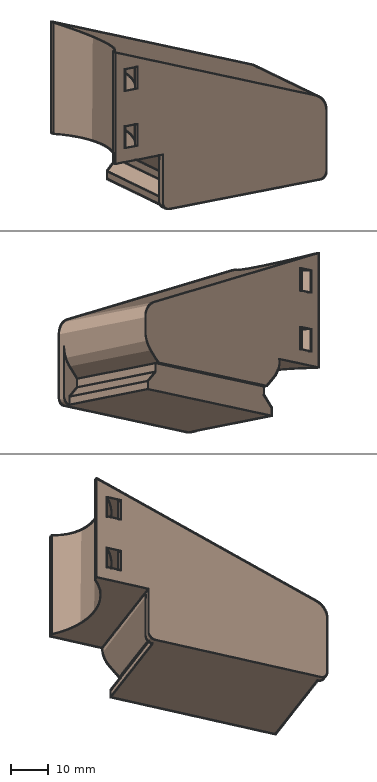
import cadquery as cq
import math

width = 32.0
length = 66.6
height = 46.75
slope_angle = 20.0
rear_radius = 5.0
overhang = 15.0
underside_z = 15.6

shoulder_z = 7.5
waist_inset = 5.0
waist_z = 5.2
foot_inset = 2.0
foot_z = waist_z - (waist_inset - foot_inset)
rail_setback = 1.0

plate_thickness = 2.0
plate_corner_radius = 2.0

saddle_radius = 21.05
saddle_depth = 6.05
slot_inner_radius = 24.0
slot_outer_radius = 26.5
slot_height = 6.05
slot_bottoms = (19.5, 35.5)
recess_back_y = 7.0
recess_depth = 0.1

half_width = width / 2
base_length = length - overhang
base_middle_y = overhang + base_length / 2
saddle_center_y = saddle_depth - saddle_radius


def extrude_along_x(profile, start_x, end_x):
    """Extrude a closed YZ profile between two X positions."""
    return profile.extrude(end_x - start_x).translate((start_x, 0, 0))


def make_body():
    """Sloped wedge whose lower flanks curve in and run at 45 degrees to the rail."""
    drop = underside_z - shoulder_z
    flank_radius = (drop - waist_inset) / (math.sqrt(2) - 1)
    arc_end_inset = flank_radius * (1 - math.cos(math.pi / 4))
    arc_end_z = underside_z - flank_radius * math.sin(math.pi / 4)
    arc_mid_inset = flank_radius * (1 - math.cos(math.pi / 8))
    arc_mid_z = underside_z - flank_radius * math.sin(math.pi / 8)
    rear_top_z = height - length * math.tan(math.radians(slope_angle))
    profile = (
        cq.Workplane("YZ")
        .moveTo(0, height)
        .lineTo(0, underside_z)
        .lineTo(overhang, underside_z)
        .threePointArc((overhang + arc_mid_inset, arc_mid_z), (overhang + arc_end_inset, arc_end_z))
        .lineTo(overhang + waist_inset, shoulder_z)
        .lineTo(length - waist_inset, shoulder_z)
        .lineTo(length - arc_end_inset, arc_end_z)
        .threePointArc((length - arc_mid_inset, arc_mid_z), (length, underside_z))
        .lineTo(length, rear_top_z)
        .close()
    )
    body = extrude_along_x(profile, -half_width, half_width)
    rear_top_edge = cq.selectors.NearestToPointSelector((0, length, rear_top_z))
    return body.edges(rear_top_edge).fillet(rear_radius)


def make_rail():
    """Dovetail-like rail below the body."""
    front_side = [
        (overhang + waist_inset, shoulder_z),
        (overhang + waist_inset, waist_z),
        (overhang + foot_inset, foot_z),
        (overhang + foot_inset, 0),
    ]
    rear_side = [(2 * base_middle_y - y, z) for y, z in reversed(front_side)]
    profile = cq.Workplane("YZ").polyline(front_side + rear_side).close()
    return extrude_along_x(profile, rail_setback - half_width, half_width)


def make_end_plate():
    """Plate closing the rail end, with rounded lower corners."""
    profile = cq.Workplane("YZ").center(base_middle_y, underside_z / 2).rect(base_length, underside_z)
    plate = extrude_along_x(profile, half_width - plate_thickness, half_width)
    return plate.edges("|X and <Z").fillet(plate_corner_radius)


def make_saddle_cutter():
    return cq.Workplane("XY").center(0, saddle_center_y).circle(saddle_radius).extrude(height)


def make_slot_cutter(bottom_z):
    """Ring-shaped slot around the saddle axis with a shallow relief at both mouths."""
    cutter = (
        cq.Workplane("XY", origin=(0, saddle_center_y, bottom_z))
        .circle(slot_outer_radius)
        .circle(slot_inner_radius)
        .extrude(slot_height)
    )
    mouth_y = saddle_center_y + math.sqrt(slot_inner_radius**2 - half_width**2)
    for side in (-1, 1):
        recess = (
            cq.Workplane("XY", origin=(side * half_width, (mouth_y + recess_back_y) / 2, bottom_z))
            .rect(2 * recess_depth, recess_back_y - mouth_y)
            .extrude(slot_height)
        )
        cutter = cutter.union(recess)
    return cutter


result = make_body().union(make_rail()).union(make_end_plate())
result = result.cut(make_saddle_cutter())
for slot_bottom in slot_bottoms:
    result = result.cut(make_slot_cutter(slot_bottom))